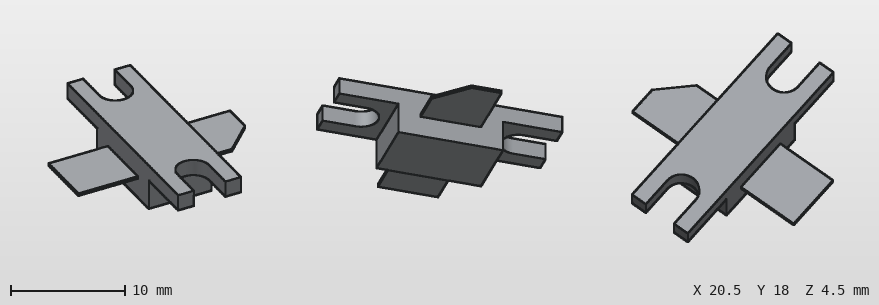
import cadquery as cq

flange_length = 20.5
flange_width = 6.23
flange_thickness = 1.58

slot_width = 3.14
slot_depth = 4.6

overall_height = 4.5
body_length = 9.61
body_width = flange_width
spacer_thickness = 0.7
cap_height = overall_height - flange_thickness - spacer_thickness

lead_span = 18.0
lead_width = 5.54
lead_thickness = 0.25
lead_corner_cut = lead_width / 2

cap_top = cap_height
spacer_top = cap_top + spacer_thickness
lead_bottom = cap_top - lead_thickness


def block(length, width, height, bottom):
    """Box centred on the Z axis, standing on the given height."""
    return (
        cq.Workplane("XY")
        .workplane(offset=bottom)
        .rect(length, width)
        .extrude(height)
    )


def slot_cutter(side):
    """Slot open at one flange end (side is -1 or +1) with a round inner end."""
    radius = slot_width / 2
    open_x = side * flange_length / 2
    inner_x = side * (flange_length / 2 - slot_depth)
    arc_x = inner_x + side * radius
    return (
        cq.Workplane("XY")
        .workplane(offset=spacer_top)
        .moveTo(open_x, -radius)
        .lineTo(arc_x, -radius)
        .threePointArc((inner_x, 0), (arc_x, radius))
        .lineTo(open_x, radius)
        .close()
        .extrude(flange_thickness)
    )


def make_flange():
    """Flat bar with a mounting slot in each end."""
    flange = block(flange_length, flange_width, flange_thickness, spacer_top)
    for side in (-1, 1):
        flange = flange.cut(slot_cutter(side))
    return flange


def make_leads():
    """Lead strip along Y; the +X corner of its +Y end is cut off."""
    strip = block(lead_width, lead_span, lead_thickness, lead_bottom)
    return strip.edges("|Z").edges(">Y").edges(">X").chamfer(lead_corner_cut)


cap = block(body_length, body_width, cap_height, 0)
spacer = block(body_length, body_width, spacer_thickness, cap_top)

result = cap
for piece in (spacer, make_flange(), make_leads()):
    result = result.union(piece, clean=False)